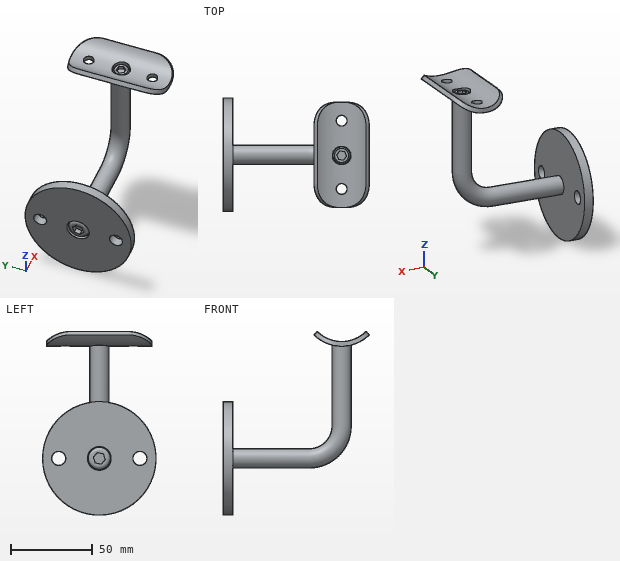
import cadquery as cq
import math


PLATE_DIAMETER = 70.0
PLATE_THICKNESS = 6.0
PLATE_HOLE_DIAMETER = 8.5
PLATE_HOLE_SPACING = 50.0

ROD_DIAMETER = 12.0
ROD_BEND_RADIUS = 20.0
ROD_REACH = 73.0
ROD_OVERLAP = 1.0

RAIL_RADIUS = 21.2
SADDLE_THICKNESS = 3.0
SADDLE_HALF_ANGLE = math.radians(45)
SADDLE_LENGTH = 65.0
SADDLE_BOTTOM_HEIGHT = 69.0
SADDLE_HOLE_DIAMETER = 6.5
SADDLE_HOLE_SPACING = 42.0
CORNER_GAP = 0.01
CORNER_RADIUS = RAIL_RADIUS * math.sin(SADDLE_HALF_ANGLE) - CORNER_GAP

SADDLE_OUTER_RADIUS = RAIL_RADIUS + SADDLE_THICKNESS
RAIL_AXIS_HEIGHT = SADDLE_BOTTOM_HEIGHT + SADDLE_OUTER_RADIUS
SADDLE_SEAT_HEIGHT = SADDLE_BOTTOM_HEIGHT + SADDLE_THICKNESS

PLATE_RECESS_DIAMETER = 14.66
PLATE_RECESS_DEPTH = 2.5
PLATE_HEAD_DIAMETER = 13.63
PLATE_HEAD_FLAT_DIAMETER = 9.7
PLATE_HEAD_HEIGHT = 2.5
PLATE_SOCKET_CORNER_DIAMETER = 7.5
PLATE_SOCKET_DEPTH = 3.5
PLATE_SOCKET_TURN = -12.0

SADDLE_SCREW_OFFSET = -0.4
SADDLE_RECESS_DIAMETER = 11.25
SADDLE_RECESS_DEPTH = 2.5
SADDLE_HEAD_DIAMETER = 10.52
SADDLE_HEAD_FLAT_DIAMETER = 8.7
SADDLE_HEAD_HEIGHT = 2.1
SADDLE_SOCKET_CORNER_DIAMETER = 6.1
SADDLE_SOCKET_DEPTH = 2.0
SADDLE_SOCKET_TURN = -7.0


def make_plate():
    """Round wall plate with two fixing holes."""
    plate = cq.Workplane("YZ").circle(PLATE_DIAMETER / 2).extrude(PLATE_THICKNESS)
    half_spacing = PLATE_HOLE_SPACING / 2
    holes = (
        cq.Workplane("YZ")
        .pushPoints([(-half_spacing, 0), (half_spacing, 0)])
        .circle(PLATE_HOLE_DIAMETER / 2)
        .extrude(PLATE_THICKNESS)
    )
    return plate.cut(holes)


def make_rod():
    """Rod leaving the plate along X and turning up to the saddle."""
    bend_start = ROD_REACH - ROD_BEND_RADIUS
    path = (
        cq.Workplane("XZ")
        .moveTo(PLATE_THICKNESS, 0)
        .lineTo(bend_start, 0)
        .tangentArcPoint((ROD_REACH, ROD_BEND_RADIUS), relative=False)
        .lineTo(ROD_REACH, SADDLE_BOTTOM_HEIGHT + ROD_OVERLAP)
    )
    section = cq.Workplane("YZ", origin=(PLATE_THICKNESS, 0, 0)).circle(ROD_DIAMETER / 2)
    return section.sweep(path)


def make_corner_rounder(side):
    """Prism whose overlap with the saddle rounds the two corners on one side (-1 or 1) of the saddle.

    It runs along that side's radial edge direction, from the rail axis outwards.
    """
    radial = (side * math.sin(SADDLE_HALF_ANGLE), 0, -math.cos(SADDLE_HALF_ANGLE))
    plane = cq.Plane((ROD_REACH, 0, RAIL_AXIS_HEIGHT), (0, 1, 0), radial)
    width = 2 * SADDLE_OUTER_RADIUS
    return (
        cq.Workplane(plane)
        .center(0, -side * width / 2)
        .rect(SADDLE_LENGTH, width)
        .extrude(2 * SADDLE_OUTER_RADIUS)
        .edges(cq.selectors.ParallelDirSelector(cq.Vector(*radial)))
        .fillet(CORNER_RADIUS)
    )


def make_saddle():
    """Arc of tube wall along Y with rounded corners and two rail screw holes."""

    def arc_ends(radius):
        side = radius * math.sin(SADDLE_HALF_ANGLE)
        height = -radius * math.cos(SADDLE_HALF_ANGLE)
        return (-side, height), (side, height)

    outer_left, outer_right = arc_ends(SADDLE_OUTER_RADIUS)
    inner_left, inner_right = arc_ends(RAIL_RADIUS)
    saddle = (
        cq.Workplane("XZ", origin=(ROD_REACH, 0, RAIL_AXIS_HEIGHT))
        .moveTo(*outer_left)
        .threePointArc((0, -SADDLE_OUTER_RADIUS), outer_right)
        .lineTo(*inner_right)
        .threePointArc((0, -RAIL_RADIUS), inner_left)
        .close()
        .extrude(SADDLE_LENGTH / 2, both=True)
    )
    for side in (-1, 1):
        saddle = saddle.intersect(make_corner_rounder(side))

    half_spacing = SADDLE_HOLE_SPACING / 2
    holes = (
        cq.Workplane("XY", origin=(ROD_REACH, 0, SADDLE_BOTTOM_HEIGHT))
        .pushPoints([(0, -half_spacing), (0, half_spacing)])
        .circle(SADDLE_HOLE_DIAMETER / 2)
        .extrude(RAIL_RADIUS)
    )
    return saddle.cut(holes)


def add_recessed_screw(body, seat, recess_diameter, recess_depth, head_diameter,
                       flat_diameter, head_height, socket_diameter, socket_depth, socket_turn):
    """Sink a button-head screw with a hex socket; the seat plane's normal points out of the part."""
    recess_floor = cq.Workplane(seat).workplane(offset=-recess_depth)
    recess = recess_floor.circle(recess_diameter / 2).extrude(2 * recess_depth)

    head_radius = head_diameter / 2
    flat_radius = flat_diameter / 2
    bulge = math.sqrt(0.5)
    crown_middle = (flat_radius + (head_radius - flat_radius) * bulge, head_height * bulge)
    profile_plane = cq.Plane(recess_floor.plane.origin, seat.xDir, -seat.yDir)
    head = (
        cq.Workplane(profile_plane)
        .lineTo(head_radius, 0)
        .threePointArc(crown_middle, (flat_radius, head_height))
        .lineTo(0, head_height)
        .close()
        .revolve(360, (0, 0), (0, 1))
    )
    socket = (
        recess_floor.workplane(offset=head_height - socket_depth)
        .transformed(rotate=(0, 0, socket_turn))
        .polygon(6, socket_diameter)
        .extrude(socket_depth)
    )
    return body.cut(recess).union(head).cut(socket)


bracket = make_plate().union(make_rod()).union(make_saddle())
bracket = add_recessed_screw(
    bracket,
    cq.Plane((0, 0, 0), (0, -1, 0), (-1, 0, 0)),
    PLATE_RECESS_DIAMETER,
    PLATE_RECESS_DEPTH,
    PLATE_HEAD_DIAMETER,
    PLATE_HEAD_FLAT_DIAMETER,
    PLATE_HEAD_HEIGHT,
    PLATE_SOCKET_CORNER_DIAMETER,
    PLATE_SOCKET_DEPTH,
    PLATE_SOCKET_TURN,
)
bracket = add_recessed_screw(
    bracket,
    cq.Plane((ROD_REACH, SADDLE_SCREW_OFFSET, SADDLE_SEAT_HEIGHT), (1, 0, 0), (0, 0, 1)),
    SADDLE_RECESS_DIAMETER,
    SADDLE_RECESS_DEPTH,
    SADDLE_HEAD_DIAMETER,
    SADDLE_HEAD_FLAT_DIAMETER,
    SADDLE_HEAD_HEIGHT,
    SADDLE_SOCKET_CORNER_DIAMETER,
    SADDLE_SOCKET_DEPTH,
    SADDLE_SOCKET_TURN,
)

result = bracket